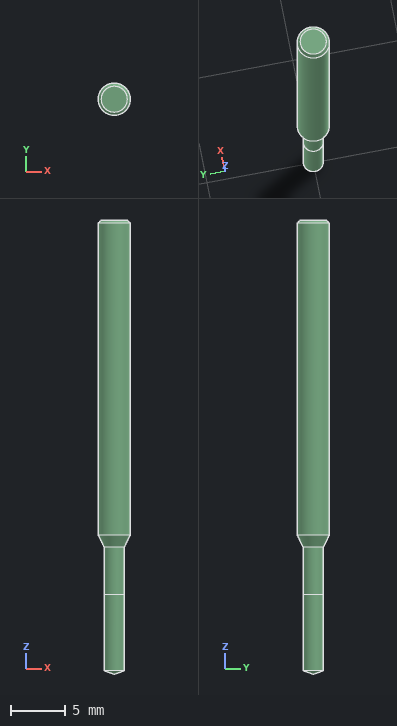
import cadquery as cq
import math

overall_length = 42.0
shank_diameter = 3.0
cutter_diameter = 1.9
point_angle = 140.0
cutter_length = 7.4
neck_length = 4.35
taper_length = 1.15
top_chamfer = 0.3

shank_radius = shank_diameter / 2
cutter_radius = cutter_diameter / 2
point_height = cutter_radius / math.tan(math.radians(point_angle / 2))
taper_bottom = cutter_length + neck_length
taper_top = taper_bottom + taper_length


def make_holder():
    """Round shank with a chamfered top, tapering to a straight neck."""
    return (
        cq.Workplane("YZ")
        .moveTo(0, cutter_length)
        .lineTo(-cutter_radius, cutter_length)
        .lineTo(-cutter_radius, taper_bottom)
        .lineTo(-shank_radius, taper_top)
        .lineTo(-shank_radius, overall_length - top_chamfer)
        .lineTo(-shank_radius + top_chamfer, overall_length)
        .lineTo(0, overall_length)
        .close()
        .revolve(360, (0, 0), (0, 1))
    )


def make_cutter():
    """Straight round cutter with a conical point, butted against the neck."""
    return (
        cq.Workplane("XZ")
        .moveTo(0, 0)
        .lineTo(-cutter_radius, point_height)
        .lineTo(-cutter_radius, cutter_length)
        .lineTo(0, cutter_length)
        .close()
        .revolve(360, (0, 0), (0, 1))
    )


holder = make_holder()
cutter = make_cutter()

result = cq.Compound.makeCompound([holder.val(), cutter.val()])